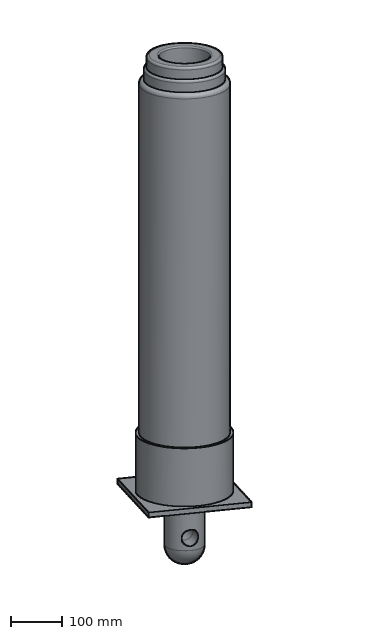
import cadquery as cq

total_height = 1050.0
plate_side = 210.0
plate_thickness = 10.0

rod_radius = 40.0
rod_drop = 140.0
pin_hole_diameter = 34.0
pin_hole_above_dome = 25.0

sleeve_radius = 96.0
sleeve_height = 120.0
outer_tube_radius = 89.0
middle_tube_radius = 80.0
inner_tube_radius = 75.0
stage_exposure = 25.0
bore_radius = 50.0
rim_rounding = 5.0
bore_edge_rounding = 3.0

plate_top = rod_drop + plate_thickness
inner_tube_top = total_height
middle_tube_top = inner_tube_top - stage_exposure
outer_tube_top = middle_tube_top - stage_exposure


def upright_cylinder(radius, bottom, top):
    return cq.Workplane("XY").workplane(offset=bottom).circle(radius).extrude(top - bottom)


def rounded_tube(radius, top, rounding):
    """Solid stage standing on the plate, with its upper edge rounded."""
    return upright_cylinder(radius, plate_top, top).faces(">Z").edges().fillet(rounding)


def anchor_rod():
    shank = upright_cylinder(rod_radius, rod_radius, rod_drop)
    dome = cq.Workplane("XY").sphere(rod_radius).translate((0, 0, rod_radius))
    pin_hole = (
        cq.Workplane("YZ")
        .center(0, rod_radius + pin_hole_above_dome)
        .circle(pin_hole_diameter / 2)
        .extrude(rod_radius * 2, both=True)
    )
    return shank.union(dome).cut(pin_hole)


plate = (
    cq.Workplane("XY")
    .workplane(offset=rod_drop)
    .rect(plate_side, plate_side)
    .extrude(plate_thickness)
)
sleeve = upright_cylinder(sleeve_radius, plate_top, plate_top + sleeve_height)

outer_tube = rounded_tube(outer_tube_radius, outer_tube_top, outer_tube_radius - middle_tube_radius)
middle_tube = rounded_tube(middle_tube_radius, middle_tube_top, middle_tube_radius - inner_tube_radius)
inner_tube = rounded_tube(inner_tube_radius, inner_tube_top, rim_rounding)

bore = upright_cylinder(bore_radius, plate_top, total_height)

result = plate.union(sleeve).union(outer_tube).union(middle_tube).union(inner_tube)
result = result.cut(bore)
bore_edge = result.faces(">Z").edges(cq.selectors.RadiusNthSelector(0))
result = bore_edge.fillet(bore_edge_rounding).union(anchor_rod())